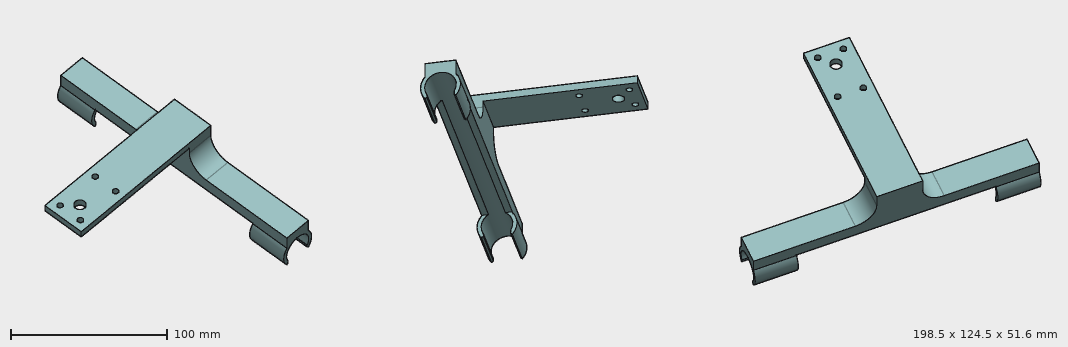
import cadquery as cq
import math

bar_length = 198.5
bar_width = 20.2
bar_height = 9.7
bar_bottom = 8.7
clip_length = 30.0
clip_outer_radius = 13.1
clip_bore_radius = 10.3
lip_half_gap = 9.0
lip_corner_depth = 7.3
total_height = 51.6
total_depth = 124.5
plate_width = 32.0
neck_center_x = -2.4
plate_thickness = 5.4
neck_fillet_radius = 14.9
screw_hole_diameter = 4.2
screw_spacing_x = 17.9
screw_spacing_y = 33.0
screw_end_distance = 6.7
center_hole_diameter = 8.0
center_hole_end_distance = 15.9

tip_half_width = bar_width / 2
tip_depth = math.sqrt(clip_outer_radius**2 - tip_half_width**2)
bar_top = bar_bottom + bar_height
plate_top = total_height - tip_depth
plate_bottom = plate_top - plate_thickness
plate_end = clip_outer_radius - total_depth


def make_bar_and_neck():
    """Cross bar with a central neck blended into it by two concave arcs."""
    half_bar = bar_length / 2
    neck_left = neck_center_x - plate_width / 2
    neck_right = neck_center_x + plate_width / 2
    arc_top = bar_top + neck_fillet_radius
    arc_offset = neck_fillet_radius * (1 - math.sqrt(0.5))
    arc_mid_z = bar_top + arc_offset
    return (
        cq.Workplane("XZ", origin=(0, bar_width / 2, 0))
        .moveTo(-half_bar, bar_bottom)
        .lineTo(half_bar, bar_bottom)
        .lineTo(half_bar, bar_top)
        .lineTo(neck_right + neck_fillet_radius, bar_top)
        .threePointArc((neck_right + arc_offset, arc_mid_z), (neck_right, arc_top))
        .lineTo(neck_right, plate_top)
        .lineTo(neck_left, plate_top)
        .lineTo(neck_left, arc_top)
        .threePointArc((neck_left - arc_offset, arc_mid_z), (neck_left - neck_fillet_radius, bar_top))
        .lineTo(-half_bar, bar_top)
        .close()
        .extrude(bar_width)
    )


def make_plate():
    """Cantilevered mounting plate, flush with the back of the bar."""
    plate_length = bar_width / 2 - plate_end
    return (
        cq.Workplane("XY", origin=(neck_center_x, plate_end + plate_length / 2, plate_bottom))
        .rect(plate_width, plate_length)
        .extrude(plate_thickness)
    )


def make_clip(start_x):
    """Solid clip body, before boring, with bevelled lips at the opening."""
    body = cq.Workplane("YZ", origin=(start_x, 0, 0)).circle(clip_outer_radius).extrude(clip_length)
    opening = (
        cq.Workplane("YZ", origin=(start_x, 0, 0))
        .moveTo(-lip_half_gap, 0)
        .lineTo(lip_half_gap, 0)
        .lineTo(lip_half_gap, -lip_corner_depth)
        .lineTo(tip_half_width, -tip_depth)
        .lineTo(tip_half_width, -clip_outer_radius)
        .lineTo(-tip_half_width, -clip_outer_radius)
        .lineTo(-tip_half_width, -tip_depth)
        .lineTo(-lip_half_gap, -lip_corner_depth)
        .close()
        .extrude(clip_length)
    )
    saddle = (
        cq.Workplane("YZ", origin=(start_x, 0, bar_bottom / 2))
        .rect(bar_width, bar_bottom)
        .extrude(clip_length)
    )
    return body.union(saddle).cut(opening)


def make_plate_holes():
    """Four screw holes and one larger hole."""
    screw_center_y = plate_end + screw_end_distance + screw_spacing_y / 2
    screw_holes = (
        cq.Workplane("XY", origin=(neck_center_x, screw_center_y, plate_bottom))
        .rarray(screw_spacing_x, screw_spacing_y, 2, 2)
        .circle(screw_hole_diameter / 2)
        .extrude(plate_thickness)
    )
    center_hole = (
        cq.Workplane("XY", origin=(neck_center_x, plate_end + center_hole_end_distance, plate_bottom))
        .circle(center_hole_diameter / 2)
        .extrude(plate_thickness)
    )
    return screw_holes.union(center_hole)


result = make_bar_and_neck().union(make_plate())
for clip_start in (-bar_length / 2, bar_length / 2 - clip_length):
    result = result.union(make_clip(clip_start))

bore = cq.Workplane("YZ", origin=(-bar_length / 2, 0, 0)).circle(clip_bore_radius).extrude(bar_length)
result = result.cut(bore).cut(make_plate_holes())